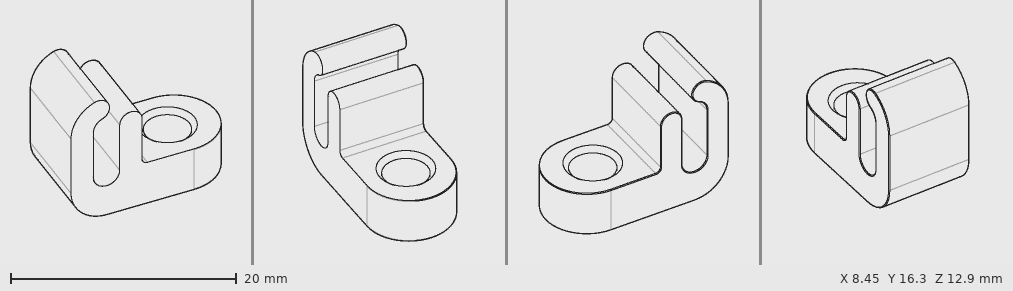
import cadquery as cq
import math

width = 8.45
length = 16.32
base_height = 4.5
wall = 2.2
slot_width = 2.58
arc_height = 9.51
tip_angle = math.radians(20)
inner_fillet = 0.5
hole_diameter = 4.3
hole_y = 11.49
countersink_diameter = 5.29
countersink_angle = 90
edge_bevel = 0.08

slot_radius = slot_width / 2
hook_radius = wall + slot_radius
tip_radius = wall / 2
slot_far_y = wall + slot_width
post_far_y = slot_far_y + wall
end_radius = width / 2


def on_hook(radius, angle):
    """Point at an angle from vertical, on a circle about the hook centre."""
    return (hook_radius - radius * math.sin(angle), arc_height + radius * math.cos(angle))


def tip_nose():
    """Foremost point of the round hook tip, halfway along its end arc."""
    y, z = on_hook(hook_radius - tip_radius, tip_angle)
    return (y + tip_radius * math.cos(tip_angle), z + tip_radius * math.sin(tip_angle))


def clip_body():
    """Side profile of base, post, slot and hook, extruded across the width."""
    mid_angle = (tip_angle + math.pi / 2) / 2
    corner = hook_radius * (1 - math.sqrt(0.5))
    fillet_mid = inner_fillet * (1 - math.sqrt(0.5))
    return (
        cq.Workplane("YZ", origin=(-width / 2, 0, 0))
        .moveTo(hook_radius, 0)
        .lineTo(length, 0)
        .lineTo(length, base_height)
        .lineTo(post_far_y + inner_fillet, base_height)
        .threePointArc(
            (post_far_y + fillet_mid, base_height + fillet_mid),
            (post_far_y, base_height + inner_fillet),
        )
        .lineTo(post_far_y, arc_height)
        .threePointArc((slot_far_y + tip_radius, arc_height + tip_radius), (slot_far_y, arc_height))
        .lineTo(slot_far_y, base_height)
        .threePointArc((hook_radius, base_height - slot_radius), (wall, base_height))
        .lineTo(wall, arc_height)
        .threePointArc(on_hook(slot_radius, mid_angle), on_hook(slot_radius, tip_angle))
        .threePointArc(tip_nose(), on_hook(hook_radius, tip_angle))
        .threePointArc(on_hook(hook_radius, mid_angle), (0, arc_height))
        .lineTo(0, hook_radius)
        .threePointArc((corner, corner), (hook_radius, 0))
        .close()
        .extrude(width)
    )


def plan_outline(plane, inset):
    """Plan outline with a round end; only the -X side moves in by the inset."""
    left = -end_radius + inset
    straight = length - end_radius
    middle = (left + end_radius) / 2
    return (
        plane.moveTo(left, 0)
        .lineTo(end_radius, 0)
        .lineTo(end_radius, straight)
        .threePointArc((middle, straight + end_radius - middle), (left, straight))
        .close()
    )


def bevel_layer(start_inset, end_inset, start_height):
    """Layer one bevel high whose bevel fades out around the round end."""
    start = plan_outline(cq.Workplane("XY").workplane(offset=start_height), start_inset)
    return plan_outline(start.workplane(offset=edge_bevel), end_inset).loft(ruled=True)


def rounded_envelope():
    """Envelope that rounds the base end and leaves the post and hook full."""
    top_bevel = base_height - edge_bevel
    core = plan_outline(cq.Workplane("XY").workplane(offset=edge_bevel), 0)
    clip_length = post_far_y + inner_fillet
    clip_space = cq.Workplane("XY").box(width, clip_length, length, centered=(True, False, False))
    return (
        core.extrude(top_bevel - edge_bevel)
        .union(bevel_layer(edge_bevel, 0, 0))
        .union(bevel_layer(0, edge_bevel, top_bevel))
        .union(clip_space)
    )


bevelled_clip = clip_body().faces("<X").chamfer(edge_bevel)

body = bevelled_clip.intersect(rounded_envelope()).clean()

result = (
    body.copyWorkplane(cq.Workplane("XY", origin=(0, hole_y, base_height)))
    .cskHole(hole_diameter, countersink_diameter, countersink_angle)
)